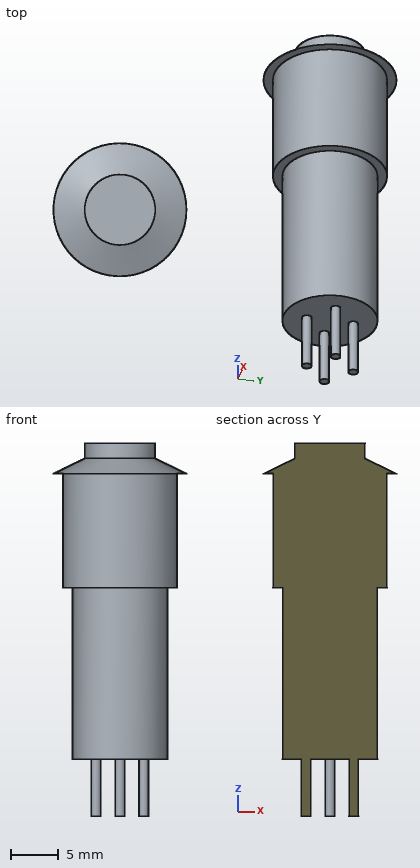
import cadquery as cq

total_height = 39.2
pin_length = 6.0
lower_body_height = 18.0
upper_body_height = 12.0
flange_height = 1.6
shoulder_z = pin_length + lower_body_height
flange_z = shoulder_z + upper_body_height
button_z = flange_z + flange_height

pin_diameter = 1.0
lower_body_diameter = 10.0
upper_body_diameter = 12.0
flange_diameter = 14.0
button_diameter = 7.4

pin_count = 4
pin_circle_radius = 2.5


def make_body():
    """Revolve the stepped body, conical flange and button about Z."""
    profile = (
        cq.Workplane("XZ")
        .moveTo(0, pin_length)
        .lineTo(lower_body_diameter / 2, pin_length)
        .lineTo(lower_body_diameter / 2, shoulder_z)
        .lineTo(upper_body_diameter / 2, shoulder_z)
        .lineTo(upper_body_diameter / 2, flange_z)
        .lineTo(flange_diameter / 2, flange_z)
        .lineTo(button_diameter / 2, button_z)
        .lineTo(button_diameter / 2, total_height)
        .lineTo(0, total_height)
        .close()
    )
    return profile.revolve(360, (0, 0, 0), (0, 1, 0))


def make_pins():
    """Round terminal pins ending flush with the underside of the body."""
    return (
        cq.Workplane("XY")
        .polarArray(pin_circle_radius, 0, 360, pin_count)
        .circle(pin_diameter / 2)
        .extrude(pin_length)
    )


result = make_body().union(make_pins())